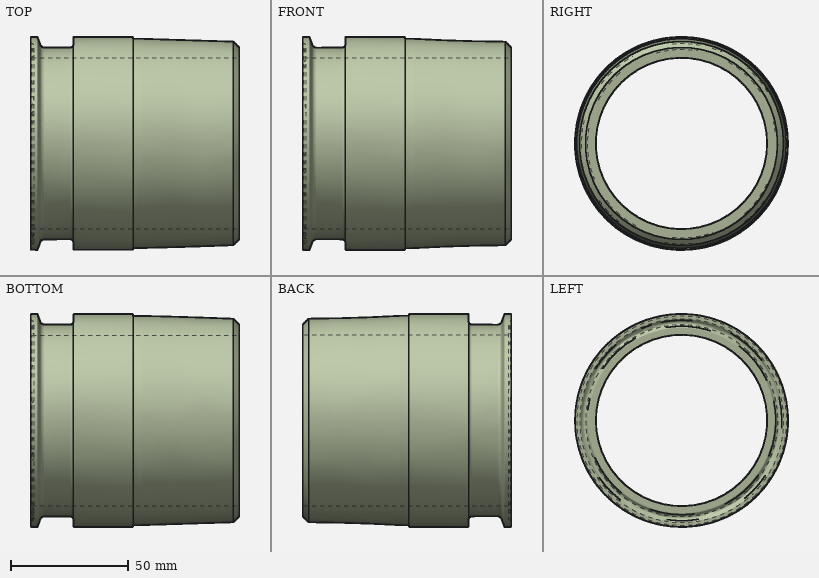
import cadquery as cq
import math

LENGTH = 88.9
FLANGE_DIAMETER = 90.9
BODY_DIAMETER = FLANGE_DIAMETER
NECK_DIAMETER = 81.9
BORE_DIAMETER = 72.9

FLANGE_RIM_WIDTH = 2.9
FLANGE_BACK_ANGLE = 20.0
FLANGE_ROOT_FILLET = 1.7
EDGE_FILLET = 0.5

BODY_START = 18.2
BODY_LENGTH = 25.5
BODY_ROOT_FILLET = 1.4

PIPE_DIAMETER = 89.4
PIPE_STRAIGHT_LENGTH = 3.6
PIPE_TAPER = 1 / 16
END_CHAMFER = 2.55

GROOVE_MEAN_DIAMETER = 82.9
GROOVE_WIDTH = 2.7
GROOVE_DEPTH = 1.4
GROOVE_EDGE_FILLET = 0.7

flange_radius = FLANGE_DIAMETER / 2
body_radius = BODY_DIAMETER / 2
neck_radius = NECK_DIAMETER / 2
pipe_radius = PIPE_DIAMETER / 2
bore_radius = BORE_DIAMETER / 2

flange_slope_length = (flange_radius - neck_radius) * math.tan(math.radians(FLANGE_BACK_ANGLE))
flange_root = FLANGE_RIM_WIDTH + flange_slope_length
body_end = BODY_START + BODY_LENGTH
taper_start = body_end + PIPE_STRAIGHT_LENGTH
taper_end = LENGTH - END_CHAMFER
taper_end_radius = pipe_radius - (taper_end - taper_start) * PIPE_TAPER / 2


def turned(profile):
    """Revolve a closed XY profile about the X axis."""
    return profile.close().revolve(360, (0, 0, 0), (1, 0, 0))


def round_edge(solid, x, radius, fillet):
    """Fillet the circular edge that crosses the XY plane at (x, radius)."""
    tolerance = 0.01

    def is_wanted(edge):
        center = edge.Center()
        return (
            edge.geomType() == "CIRCLE"
            and abs(center.x - x) < tolerance
            and abs(edge.radius() - radius) < tolerance
        )

    return solid.edges().filter(is_wanted).fillet(fillet)


def make_sleeve():
    """Flange, neck, collar and tapered end around the through bore."""
    sleeve = turned(
        cq.Workplane("XY")
        .moveTo(0, bore_radius)
        .lineTo(0, flange_radius)
        .lineTo(FLANGE_RIM_WIDTH, flange_radius)
        .lineTo(flange_root, neck_radius)
        .lineTo(BODY_START, neck_radius)
        .lineTo(BODY_START, body_radius)
        .lineTo(body_end, body_radius)
        .lineTo(body_end, pipe_radius)
        .lineTo(taper_start, pipe_radius)
        .lineTo(taper_end, taper_end_radius)
        .lineTo(LENGTH, taper_end_radius - END_CHAMFER)
        .lineTo(LENGTH, bore_radius)
    )
    rounded_edges = [
        (0, flange_radius, EDGE_FILLET),
        (FLANGE_RIM_WIDTH, flange_radius, EDGE_FILLET),
        (flange_root, neck_radius, FLANGE_ROOT_FILLET),
        (BODY_START, neck_radius, BODY_ROOT_FILLET),
        (BODY_START, body_radius, EDGE_FILLET),
        (body_end, body_radius, EDGE_FILLET),
    ]
    for x, radius, fillet in rounded_edges:
        sleeve = round_edge(sleeve, x, radius, fillet)
    return sleeve


def cut_gasket_groove(sleeve):
    """Cut a round-bottomed ring groove in the ferrule face and round both its edges."""
    mean_radius = GROOVE_MEAN_DIAMETER / 2
    inner_radius = mean_radius - GROOVE_WIDTH / 2
    outer_radius = mean_radius + GROOVE_WIDTH / 2
    groove = turned(
        cq.Workplane("XY")
        .moveTo(0, inner_radius)
        .threePointArc((GROOVE_DEPTH, mean_radius), (0, outer_radius))
    )
    grooved = sleeve.cut(groove)
    for edge_radius in (inner_radius, outer_radius):
        grooved = round_edge(grooved, 0, edge_radius, GROOVE_EDGE_FILLET)
    return grooved


result = cut_gasket_groove(make_sleeve())